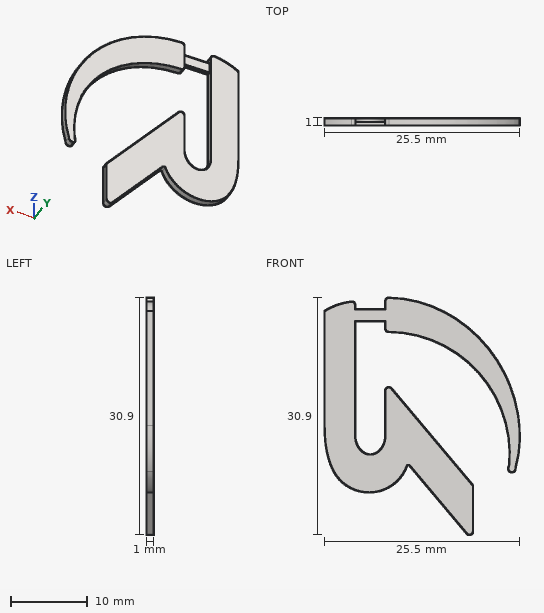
import cadquery as cq
import math

thickness = 1.0
bridge_thickness = thickness / 2

stem_width = 4.02
slot_right = 7.92
slot_half_width = (slot_right - stem_width) / 2
slot_round_z = 13.0
slot_round_depth = 2.47
stem_left_top_z = 29.2
stem_top_mid = (1.85, 30.05)
stem_right_top_z = 30.47

bowl_center_x = 5.8
bowl_center_z = 10.8
bowl_radius = 5.25
bowl_start_angle = 208.5
bowl_side_top_z = 14.25

leg_right = 19.35
leg_slope = -1.19
leg_upper_corner_z = 6.45
leg_lower_corner_z = -0.8
leg_peak_z = leg_upper_corner_z + leg_slope * (slot_right - leg_right)

crescent_top_z = 30.93
crescent_bottom_z = 26.45
crescent_outer_mid = (16.9, 28.33)
crescent_shoulder = (22.55, 22.67)
crescent_right = (25.45, 12.77)
crescent_inner_mid = (20.0, 21.22)
crescent_inner_end = (24.03, 8.97)
crescent_tip_bottom = (24.45, 8.17)
crescent_outer_end = (24.9, 8.72)

bridge_bottom_z = 27.85
bridge_top_z = 29.4

corner_radius = 0.45
crotch_radius = 0.2


def bowl_point(angle):
    """Point on the bowl circle at an angle in degrees from +X."""
    a = math.radians(angle)
    return (bowl_center_x + bowl_radius * math.cos(a), bowl_center_z + bowl_radius * math.sin(a))


def crotch_angle():
    """Angle on the bowl circle, in degrees, where the lower leg edge meets it."""
    edge_angle = math.atan(leg_slope)
    edge_z_at_center = leg_lower_corner_z + leg_slope * (bowl_center_x - leg_right)
    edge_distance = (edge_z_at_center - bowl_center_z) * math.cos(edge_angle)
    return math.degrees(edge_angle + math.asin(edge_distance / bowl_radius))


def round_corner(body, corner, radius):
    """Fillet the through-thickness edge standing at the (x, z) corner."""
    x, z = corner
    edge = cq.selectors.NearestToPointSelector((x, thickness / 2, z))
    return body.edges("|Y").edges(edge).fillet(radius)


def make_stem_and_leg():
    crotch = bowl_point(crotch_angle())
    bowl_start = math.radians(bowl_start_angle)
    bowl_tangent = (math.sin(bowl_start), -math.cos(bowl_start))
    stem_corner = (stem_width, stem_right_top_z)
    peak = (slot_right, leg_peak_z)
    leg_tip = (leg_right, leg_lower_corner_z)
    body = (
        cq.Workplane("XZ")
        .moveTo(0, stem_left_top_z)
        .threePointArc(stem_top_mid, stem_corner)
        .lineTo(stem_width, slot_round_z)
        .ellipseArc(slot_round_depth, slot_half_width, 90, 270, rotation_angle=90, sense=1)
        .lineTo(*peak)
        .lineTo(leg_right, leg_upper_corner_z)
        .lineTo(*leg_tip)
        .lineTo(*crotch)
        .threePointArc(bowl_point(-90), bowl_point(bowl_start_angle))
        .spline([(0, bowl_side_top_z)], tangents=[bowl_tangent, (0, 1)], includeCurrent=True)
        .close()
        .extrude(-thickness)
    )
    for corner in (stem_corner, peak, leg_tip):
        body = round_corner(body, corner, corner_radius)
    return round_corner(body, crotch, crotch_radius)


def make_crescent():
    top_corner = (slot_right, crescent_top_z)
    bottom_corner = (slot_right, crescent_bottom_z)
    outer_points = [crescent_outer_mid, crescent_shoulder, crescent_right, crescent_outer_end]
    body = (
        cq.Workplane("XZ")
        .moveTo(*top_corner)
        .spline(outer_points, includeCurrent=True)
        .threePointArc(crescent_tip_bottom, crescent_inner_end)
        .threePointArc(crescent_inner_mid, bottom_corner)
        .close()
        .extrude(-thickness)
    )
    for corner in (top_corner, bottom_corner):
        body = round_corner(body, corner, corner_radius)
    return body


def make_bridge():
    """Half-thickness bar flush with the front face, meeting both neighbours."""
    length = slot_right - stem_width
    height = bridge_top_z - bridge_bottom_z
    return cq.Workplane("XY").box(length, bridge_thickness, height, centered=False).translate(
        (stem_width, 0, bridge_bottom_z)
    )


result = make_stem_and_leg().union(make_bridge()).union(make_crescent())